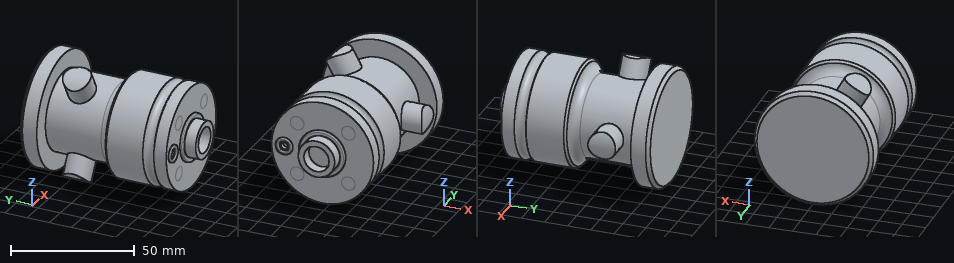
import cadquery as cq
import math


flange_radius = 25.3
flange_thickness = 7.95
flange_chamfer = 1.5
neck_radius = 17.5

body_radius = 22.5
body_back = 37.0
body_front = 65.0
body_chamfer = 1.0
neck_fillet = body_radius - body_chamfer - neck_radius
groove_center = 56.9
groove_radius = 2.5

hub_radius = 8.0
hub_front = 71.0
bore_radius = 5.55
bore_depth = 5.0
lip_radius = 0.5
collar_radius = 10.2
collar_height = 1.2

port_x = -16.8
port_radius = 3.75
port_height = 0.85
port_mouth_radius = 2.1
port_hole_radius = 1.5
port_hole_depth = 2.1

pin_count = 3
pin_radius = 5.95
pin_distance = 20.0
pin_reach = 26.5
pin_crown_radius = 12.0

plug_count = 4
plug_radius = 3.0
plug_depth = 4.0
plug_circle_radius = 16.0


def front_cylinder(radius, start, length, x=0, z=0):
    """Cylinder along -Y that begins at distance start from the back face."""
    return cq.Workplane("XZ", origin=(x, -start, z)).circle(radius).extrude(length)


def turned_body():
    arc_offset = neck_fillet * math.sqrt(0.5)
    fillet_mid = (
        neck_radius + neck_fillet - arc_offset,
        -(body_back - neck_fillet + arc_offset),
    )
    profile = (
        cq.Workplane("XY")
        .lineTo(flange_radius - flange_chamfer, 0)
        .lineTo(flange_radius, -flange_chamfer)
        .lineTo(flange_radius, -flange_thickness)
        .lineTo(neck_radius, -flange_thickness)
        .lineTo(neck_radius, -(body_back - neck_fillet))
        .threePointArc(fillet_mid, (neck_radius + neck_fillet, -body_back))
        .lineTo(body_radius, -(body_back + body_chamfer))
        .lineTo(body_radius, -(groove_center - groove_radius))
        .threePointArc(
            (body_radius - groove_radius, -groove_center),
            (body_radius, -(groove_center + groove_radius)),
        )
        .lineTo(body_radius, -body_front)
        .lineTo(0, -body_front)
        .close()
    )
    return profile.revolve(360, (0, 0, 0), (0, 1, 0))


def rounded_ring(outer_radius, inner_radius, height, x=0):
    """Ring on the front face with both front edges rounded."""
    ring = front_cylinder(outer_radius, body_front, height, x)
    ring = ring.cut(front_cylinder(inner_radius, body_front, height, x))
    return ring.faces("<Y").edges().fillet(lip_radius)


def pin(angle):
    """Radial pin whose outer end is crowned about an axis parallel to Y."""
    shaft = (
        cq.Workplane("YZ", origin=(0, -pin_distance, 0))
        .circle(pin_radius)
        .extrude(pin_reach)
    )
    crown = front_cylinder(
        pin_crown_radius,
        pin_distance - pin_radius,
        2 * pin_radius,
        x=pin_reach - pin_crown_radius,
    )
    root = (
        cq.Workplane("YZ", origin=(0, -pin_distance, 0))
        .circle(pin_radius)
        .extrude(pin_reach - pin_crown_radius)
    )
    return shaft.intersect(crown).union(root).rotate((0, 0, 0), (0, 1, 0), angle)


result = turned_body()
for index in range(pin_count):
    result = result.union(pin(index * 360 / pin_count))

result = result.union(front_cylinder(hub_radius, body_front, hub_front - body_front))
result = result.union(rounded_ring(collar_radius, hub_radius, collar_height))
result = result.cut(front_cylinder(bore_radius, hub_front - bore_depth, bore_depth))

result = result.union(rounded_ring(port_radius, port_mouth_radius, port_height, port_x))
result = result.cut(front_cylinder(port_hole_radius, body_front - port_hole_depth, port_hole_depth, port_x))

plugs = cq.Workplane("XY")
for index in range(plug_count):
    angle = math.radians(45 + index * 360 / plug_count)
    plug = front_cylinder(
        plug_radius,
        body_front - plug_depth,
        plug_depth,
        x=plug_circle_radius * math.cos(angle),
        z=plug_circle_radius * math.sin(angle),
    )
    plugs = plugs.add(plug)
plugs = plugs.combine()
result = result.cut(plugs).union(plugs, clean=False)